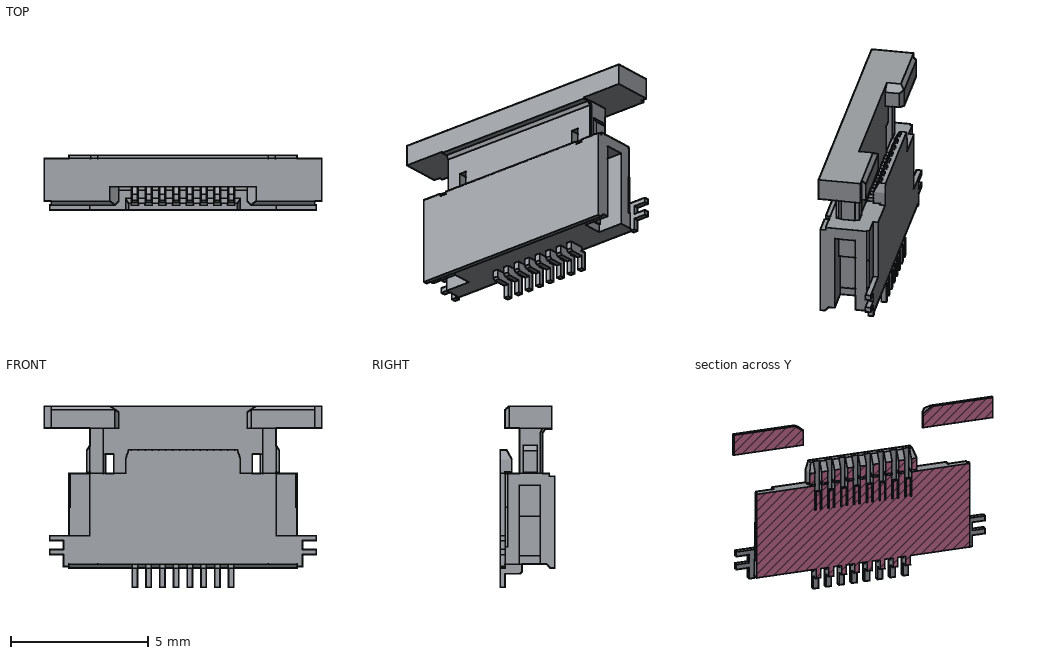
import cadquery as cq


TOTAL_HEIGHT = 6.6
HOUSING_BOTTOM = 0.85
HOUSING_TOP = 4.15

HOUSING_HALF_WIDTH = 4.155
DEPTH = 2.0
PLATE_THICKNESS = 0.19
REAR_STEP_DEPTH = 0.2
REAR_STEP_DROP = 0.1
FOOT_DEPTH = 0.17
FOOT_HEIGHT = 0.15
FOOT_SLOPE = 0.14
CORNER_STEP_X = 0.055
CORNER_STEP_Y = 0.09
CORNER_STEP_BOTTOM = 1.48
CORNER_STEP_CHANGE = 2.92
CORNER_STEP_X_NARROW = 0.02
REAR_NOTCH_CENTER = 3.23
REAR_NOTCH_WIDTH = 0.25

PLATE_HALF_WIDTH = 3.40
FLANGE_HALF_WIDTH = 4.35
FLANGE_BOTTOM = 0.76
EAR_HALF_WIDTH = 4.85
UPPER_EAR = (1.70, 1.885)
LOWER_EAR = (1.19, 1.385)

TONGUE_HALF_WIDTH = 2.09
TONGUE_TOP = 5.0
TONGUE_SIDE_BEVEL = 0.11
TONGUE_BEVEL_HEIGHT = 0.34
TONGUE_DEPTH = 0.436
TONGUE_REAR_BEVEL = 0.19
TONGUE_GAP = 0.05

CONTACT_COUNT = 8
CONTACT_PITCH = 0.5
TAIL_WIDTH = 0.2
TAIL_HEIGHT = 0.70
TAIL_ROOT_DEPTH = 0.80
TAIL_ROOT_BOTTOM = 0.49
TAIL_ROOT_CHAMFER = 0.08
TAIL_ROOT_EMBED = 0.3
CHANNEL_WIDTH = 0.25
CHANNEL_FRONT = 0.18
CHANNEL_FLOOR = 3.2
CONTACT_WIDTH = 0.18
CONTACT_FRONT = 0.274
CONTACT_SHOULDER = 0.354
CONTACT_BEND = 0.58
CONTACT_TIP_Z = 3.9
CONTACT_STEP = 0.2

BAR_HALF_WIDTH = 5.05
BAR_BOTTOM = 5.8
BAR_FRONT = 0.335
BAR_REAR = 1.89
RIB_INSET = 0.25
RIB_FRONT = 0.18
RIB_BEVEL = 0.14
GRIP_INNER_X = 2.335
GRIP_CORNER = 0.15
GRIP_BEVEL_X = 0.325
GRIP_BEVEL_Z = 0.225
POST_INNER_X = 2.91
POST_OUTER_X = 3.39
POST_FRONT = 0.70
POST_REAR = 1.46
POST_STEP_LEVEL = 2.59
POST_BOTTOM = 1.16
WEB_INSET = 0.02
WEB_HALF_WIDTH = POST_OUTER_X - WEB_INSET
WEB_FRONT = 0.857
WEB_REAR = 1.55
WEB_UNDERCUT = 0.045
ROOT_BEVEL_Y = 0.09
ROOT_BEVEL_Z = 0.14
WINDOW_INNER_X = 2.52
WINDOW_OUTER_X = 2.81
WINDOW_TOP = 4.85
WINDOW_REBATE_DEPTH = 0.2
ACTUATOR_SLOT_FRONT = 0.735
ACTUATOR_SLOT_FLOOR = 3.4
LATCH_HALF_WIDTH = 3.51
LATCH_FRONT = 0.85
LATCH_REAR = 1.35
LATCH_BOTTOM = 4.19
LATCH_SHOULDER = 4.98
LATCH_TOP = 5.17

POCKET_TOP = 3.72
POCKET_FLOOR_X = 3.1


def box(x0, x1, y0, y1, z0, z1):
    """Box between two opposite corners."""
    return cq.Workplane("XY").box(x1 - x0, y1 - y0, z1 - z0, centered=False).translate((x0, y0, z0))


def side_profile(points, x0, x1):
    """(y, z) outline extruded from x0 to x1."""
    return cq.Workplane("YZ").polyline(points).close().extrude(x1 - x0).translate((x0, 0, 0))


def front_profile(points, y0, y1):
    """(x, z) outline extruded from y0 to y1."""
    return cq.Workplane("XZ").polyline(points).close().extrude(y0 - y1).translate((0, y0, 0))


def top_profile(points, z0, z1):
    """(x, y) outline extruded from z0 to z1."""
    return cq.Workplane("XY").polyline(points).close().extrude(z1 - z0).translate((0, 0, z0))


def both_sides(right):
    """A +X feature together with its mirror image."""
    return right.union(right.mirror("YZ"))


def contact_positions():
    first = -(CONTACT_COUNT - 1) * CONTACT_PITCH / 2
    return [first + i * CONTACT_PITCH for i in range(CONTACT_COUNT)]


def make_corner_step(width, bottom, top):
    """Step removed from the right front corner of the housing block."""
    step_rear = PLATE_THICKNESS + CORNER_STEP_Y
    return box(HOUSING_HALF_WIDTH - width, HOUSING_HALF_WIDTH, PLATE_THICKNESS, step_rear, bottom, top)


def make_housing():
    foot_bottom = HOUSING_BOTTOM - FOOT_HEIGHT
    foot_front = DEPTH - FOOT_DEPTH
    step_front = DEPTH - REAR_STEP_DEPTH
    step_top = HOUSING_TOP - REAR_STEP_DROP
    block = side_profile(
        [
            (PLATE_THICKNESS, HOUSING_BOTTOM),
            (foot_front - FOOT_SLOPE, HOUSING_BOTTOM),
            (foot_front, foot_bottom),
            (DEPTH, foot_bottom),
            (DEPTH, step_top),
            (step_front, step_top),
            (step_front, HOUSING_TOP),
            (PLATE_THICKNESS, HOUSING_TOP),
        ],
        -HOUSING_HALF_WIDTH,
        HOUSING_HALF_WIDTH,
    )
    corner = make_corner_step(CORNER_STEP_X, CORNER_STEP_CHANGE, HOUSING_TOP).union(
        make_corner_step(CORNER_STEP_X_NARROW, CORNER_STEP_BOTTOM, CORNER_STEP_CHANGE)
    )
    notch = box(
        REAR_NOTCH_CENTER - REAR_NOTCH_WIDTH / 2,
        REAR_NOTCH_CENTER + REAR_NOTCH_WIDTH / 2,
        step_front,
        DEPTH,
        step_top - REAR_STEP_DROP,
        step_top,
    )
    pocket = box(POCKET_FLOOR_X, HOUSING_HALF_WIDTH, POST_FRONT, POST_REAR, HOUSING_BOTTOM, POCKET_TOP)
    return block.cut(both_sides(corner)).cut(both_sides(notch)).cut(both_sides(pocket))


def make_front_plate():
    flange_top = UPPER_EAR[1]
    center = box(-PLATE_HALF_WIDTH, PLATE_HALF_WIDTH, 0, PLATE_THICKNESS, HOUSING_BOTTOM, HOUSING_TOP)
    flange = box(-FLANGE_HALF_WIDTH, FLANGE_HALF_WIDTH, 0, PLATE_THICKNESS, HOUSING_BOTTOM, flange_top)
    tab = box(HOUSING_HALF_WIDTH, FLANGE_HALF_WIDTH, 0, PLATE_THICKNESS, FLANGE_BOTTOM, flange_top)
    plate = center.union(flange).union(both_sides(tab))
    for bottom, top in (UPPER_EAR, LOWER_EAR):
        plate = plate.union(box(-EAR_HALF_WIDTH, EAR_HALF_WIDTH, 0, PLATE_THICKNESS, bottom, top))
    return plate


def make_tongue():
    shoulder = TONGUE_TOP - TONGUE_BEVEL_HEIGHT
    overhang = HOUSING_TOP + TONGUE_GAP
    section = side_profile(
        [
            (0, HOUSING_TOP),
            (PLATE_THICKNESS, HOUSING_TOP),
            (PLATE_THICKNESS, overhang),
            (TONGUE_DEPTH, overhang),
            (TONGUE_DEPTH, shoulder),
            (TONGUE_DEPTH - TONGUE_REAR_BEVEL, TONGUE_TOP),
            (0, TONGUE_TOP),
        ],
        -TONGUE_HALF_WIDTH,
        TONGUE_HALF_WIDTH,
    )
    top_half_width = TONGUE_HALF_WIDTH - TONGUE_SIDE_BEVEL
    outline = front_profile(
        [
            (-TONGUE_HALF_WIDTH, HOUSING_TOP),
            (TONGUE_HALF_WIDTH, HOUSING_TOP),
            (TONGUE_HALF_WIDTH, shoulder),
            (top_half_width, TONGUE_TOP),
            (-top_half_width, TONGUE_TOP),
            (-TONGUE_HALF_WIDTH, shoulder),
        ],
        0,
        TONGUE_DEPTH,
    )
    return section.intersect(outline)


def make_actuator_slot():
    """Opening in the housing top that the web of the actuator slides in."""
    return box(
        -POST_INNER_X,
        POST_INNER_X,
        ACTUATOR_SLOT_FRONT,
        WEB_REAR,
        ACTUATOR_SLOT_FLOOR,
        HOUSING_TOP,
    )


def make_contact_channel(x):
    half = CHANNEL_WIDTH / 2
    return box(x - half, x + half, CHANNEL_FRONT, WEB_FRONT, CHANNEL_FLOOR, TONGUE_TOP)


def make_contact_beam(x):
    """Contact lying in its channel, with a stepped upper edge."""
    return side_profile(
        [
            (CONTACT_FRONT, CHANNEL_FLOOR),
            (CONTACT_FRONT, CONTACT_TIP_Z - CONTACT_STEP),
            (CONTACT_SHOULDER, CONTACT_TIP_Z),
            (CONTACT_BEND, CONTACT_TIP_Z),
            (WEB_FRONT, CONTACT_TIP_Z - CONTACT_STEP),
            (WEB_FRONT, CHANNEL_FLOOR),
        ],
        x - CONTACT_WIDTH / 2,
        x + CONTACT_WIDTH / 2,
    )


def make_contact_tail(x):
    """Solder tail with its root under the housing."""
    return side_profile(
        [
            (0, 0),
            (PLATE_THICKNESS, 0),
            (PLATE_THICKNESS, TAIL_ROOT_BOTTOM),
            (TAIL_ROOT_DEPTH - TAIL_ROOT_CHAMFER, TAIL_ROOT_BOTTOM),
            (TAIL_ROOT_DEPTH, TAIL_ROOT_BOTTOM + TAIL_ROOT_CHAMFER),
            (TAIL_ROOT_DEPTH, HOUSING_BOTTOM + TAIL_ROOT_EMBED),
            (PLATE_THICKNESS, HOUSING_BOTTOM + TAIL_ROOT_EMBED),
            (PLATE_THICKNESS, TAIL_HEIGHT),
            (0, TAIL_HEIGHT),
        ],
        x - TAIL_WIDTH / 2,
        x + TAIL_WIDTH / 2,
    )


def make_grip():
    """Right-hand forward block of the bar: bevelled inner end and a grip rib along the front."""
    rib_end = BAR_HALF_WIDTH - RIB_INSET
    grip = top_profile(
        [
            (GRIP_INNER_X, WEB_FRONT),
            (GRIP_INNER_X, RIB_FRONT + GRIP_CORNER),
            (GRIP_INNER_X + GRIP_CORNER, RIB_FRONT),
            (rib_end, RIB_FRONT),
            (rib_end, BAR_FRONT),
            (BAR_HALF_WIDTH, BAR_FRONT),
            (BAR_HALF_WIDTH, WEB_FRONT),
        ],
        BAR_BOTTOM,
        TOTAL_HEIGHT,
    )
    rib_bevel = side_profile(
        [
            (RIB_FRONT, TOTAL_HEIGHT - RIB_BEVEL),
            (BAR_FRONT, TOTAL_HEIGHT),
            (RIB_FRONT, TOTAL_HEIGHT),
        ],
        GRIP_INNER_X,
        rib_end,
    )
    inner_bevel = front_profile(
        [
            (GRIP_INNER_X, TOTAL_HEIGHT - GRIP_BEVEL_Z),
            (GRIP_INNER_X + GRIP_BEVEL_X, TOTAL_HEIGHT),
            (GRIP_INNER_X, TOTAL_HEIGHT),
        ],
        RIB_FRONT,
        WEB_FRONT,
    )
    return grip.cut(rib_bevel).cut(inner_bevel)


def make_post():
    """Right-hand guide post with its latch nose and a narrower lower end."""
    post = side_profile(
        [
            (POST_FRONT, POST_STEP_LEVEL),
            (POST_REAR, POST_STEP_LEVEL),
            (POST_REAR, BAR_BOTTOM - ROOT_BEVEL_Z - WEB_UNDERCUT),
            (POST_REAR + ROOT_BEVEL_Y, BAR_BOTTOM),
            (POST_FRONT, BAR_BOTTOM),
        ],
        POST_INNER_X,
        POST_OUTER_X,
    )
    post_middle = (POST_INNER_X + POST_OUTER_X) / 2
    lower_end = box(POST_INNER_X, post_middle, POST_FRONT, POST_REAR, POST_BOTTOM, POST_STEP_LEVEL)
    nose = front_profile(
        [
            (POST_INNER_X, LATCH_BOTTOM),
            (LATCH_HALF_WIDTH, LATCH_BOTTOM),
            (LATCH_HALF_WIDTH, LATCH_SHOULDER),
            (POST_OUTER_X, LATCH_TOP),
            (POST_INNER_X, LATCH_TOP),
        ],
        LATCH_FRONT,
        LATCH_REAR,
    )
    return post.union(lower_end).union(nose)


def make_web():
    """Plate hanging from the bar and joining the posts, with a window beside each post."""
    root_bottom = BAR_BOTTOM - WEB_UNDERCUT
    web = side_profile(
        [
            (WEB_FRONT, ACTUATOR_SLOT_FLOOR),
            (WEB_REAR, ACTUATOR_SLOT_FLOOR),
            (WEB_REAR, root_bottom - ROOT_BEVEL_Z),
            (WEB_REAR + ROOT_BEVEL_Y, root_bottom),
            (BAR_REAR, root_bottom),
            (BAR_REAR, BAR_BOTTOM),
            (WEB_FRONT, BAR_BOTTOM),
        ],
        -WEB_HALF_WIDTH,
        WEB_HALF_WIDTH,
    )
    window = box(WINDOW_INNER_X, WINDOW_OUTER_X, WEB_FRONT, WEB_REAR, ACTUATOR_SLOT_FLOOR, WINDOW_TOP)
    rebate_rear = WEB_FRONT + WINDOW_REBATE_DEPTH
    rebate = box(WINDOW_INNER_X, POST_INNER_X, WEB_FRONT, rebate_rear, ACTUATOR_SLOT_FLOOR, WINDOW_TOP)
    return web.cut(both_sides(window.union(rebate)))


def make_actuator():
    bar = box(-BAR_HALF_WIDTH, BAR_HALF_WIDTH, WEB_FRONT, BAR_REAR, BAR_BOTTOM, TOTAL_HEIGHT)
    return bar.union(both_sides(make_grip())).union(make_web()).union(both_sides(make_post()))


result = make_housing().union(make_front_plate()).union(make_tongue())
result = result.cut(make_actuator_slot())
for contact_x in contact_positions():
    result = result.cut(make_contact_channel(contact_x))
    result = result.union(make_contact_beam(contact_x))
    result = result.union(make_contact_tail(contact_x))
result = result.union(make_actuator())